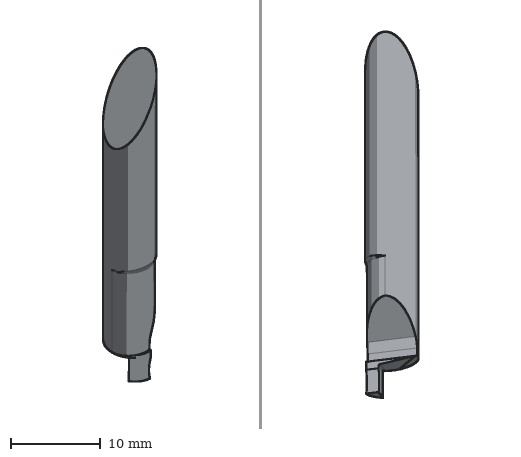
import cadquery as cq
import math


LENGTH = 42.45
RADIUS = 2.993
END_ANGLE = 30
JOINT_Z = 3.78
SLOPE = math.tan(math.radians(END_ANGLE))
MARGIN = 4.25

FLAT_Y = 0.15
FLAT_START_Z = 10.27
FLAT_BLEND = 2.55

NECK_SHIFT = 0.2
NECK_TOP_Z = 15.15
NECK_RAMP_HEIGHT = 1.35
NECK_RAMP_GROWTH = 0.42

UNDERSIDE_Z = 3.46
UNDERSIDE_FALL_X = 0.12
UNDERSIDE_FALL_Y = 0.11

TIP_BACK_X = 1.5
TIP_FRONT_X = 1.7
TIP_FRONT_Y = -2.25
TIP_CENTRE_X = 0.45
TIP_TOP_RADIUS = 2.45
TIP_BOTTOM_RADIUS = RADIUS - TIP_CENTRE_X
TIP_END_RISE = 0.2
EDGE_Y = -0.05
RAKE_TOP_Z = 2.8
RAKE_LOW_Y = -0.15
RAKE_LOW_Z = 0.98
TIP_CORNER_RADIUS = 0.15
TIP_ROOT_RADIUS = 0.25


def cylinder(radius, bottom, top, centre_x=0):
    """Solid cylinder along Z between two heights."""
    return cq.Workplane("XY", origin=(centre_x, 0, bottom)).circle(radius).extrude(top - bottom)


def cone(bottom_radius, top_radius, bottom, top, centre_x=0):
    """Solid cone frustum along Z between two heights."""
    return cq.Workplane(cq.Solid.makeCone(
        bottom_radius, top_radius, top - bottom, pnt=cq.Vector(centre_x, 0, bottom)
    ))


def slab(bottom, top, left=-RADIUS - MARGIN):
    """Block wider than the tool between two heights, reaching left to the given X."""
    width = RADIUS + MARGIN - left
    depth = 2 * (RADIUS + MARGIN)
    return cq.Workplane("XY").box(width, depth, top - bottom, centered=(False, True, False)).translate(
        (left, 0, bottom)
    )


def side_profile():
    """Side outline: slanted top, slanted run-out and cutting-face flat."""
    half_width = RADIUS + MARGIN
    flat_end_z = FLAT_START_Z - (RADIUS - FLAT_Y) / SLOPE
    front_top_z = LENGTH - 2 * RADIUS / SLOPE
    blank = (
        cq.Workplane("YZ", origin=(-half_width, 0, 0))
        .moveTo(-RADIUS, 0)
        .lineTo(FLAT_Y, 0)
        .lineTo(FLAT_Y, flat_end_z)
        .lineTo(RADIUS, FLAT_START_Z)
        .lineTo(RADIUS, LENGTH)
        .lineTo(-RADIUS, front_top_z)
        .close()
        .extrude(2 * half_width)
    )
    bend = cq.selectors.NearestToPointSelector((0, FLAT_Y, flat_end_z))
    return blank.edges(bend).fillet(FLAT_BLEND)


def tool_blank():
    """Round bar with its end cuts, flat and relieved neck."""
    ramp_top_z = NECK_TOP_Z + NECK_RAMP_HEIGHT
    neck = cylinder(RADIUS, 0, NECK_TOP_Z, -NECK_SHIFT)
    ramp = cone(RADIUS, RADIUS + NECK_RAMP_GROWTH, NECK_TOP_Z, ramp_top_z, -NECK_SHIFT)
    relief = slab(0, ramp_top_z, -NECK_SHIFT / 2).cut(neck).cut(ramp)
    return cylinder(RADIUS, 0, LENGTH).cut(relief).intersect(side_profile())


def above_underside():
    """Block bounded below by the sloping underside plane."""
    normal = (UNDERSIDE_FALL_X, UNDERSIDE_FALL_Y, 1)
    plane = cq.Plane(origin=(0, 0, UNDERSIDE_Z), xDir=(1, 0, -UNDERSIDE_FALL_X), normal=normal)
    size = 2 * (RADIUS + MARGIN)
    return cq.Workplane(plane).rect(size, size).extrude(LENGTH + MARGIN)


def cutting_tip():
    """Slender tip with hollow rake face, side clearance and curved front."""
    side = (
        cq.Workplane("YZ")
        .moveTo(EDGE_Y, 0)
        .threePointArc((RAKE_LOW_Y, RAKE_LOW_Z), (FLAT_Y, RAKE_TOP_Z))
        .lineTo(FLAT_Y, JOINT_Z)
        .lineTo(-RADIUS, JOINT_Z)
        .lineTo(-RADIUS, TIP_END_RISE)
        .lineTo(TIP_FRONT_Y, TIP_END_RISE)
        .close()
        .extrude(RADIUS + MARGIN)
    )
    clearance = (TIP_FRONT_X - TIP_BACK_X) / (FLAT_Y - TIP_FRONT_Y)
    far_front_x = TIP_FRONT_X + clearance * (TIP_FRONT_Y + RADIUS)
    plan = (
        cq.Workplane("XY")
        .moveTo(TIP_BACK_X, FLAT_Y)
        .lineTo(RADIUS, FLAT_Y)
        .lineTo(RADIUS, -RADIUS)
        .lineTo(far_front_x, -RADIUS)
        .close()
        .extrude(JOINT_Z)
    )
    corner = cq.selectors.NearestToPointSelector((TIP_BACK_X, FLAT_Y / 2 - RADIUS / 2, 0))
    plan = plan.edges(corner).fillet(TIP_CORNER_RADIUS)
    front = cone(TIP_BOTTOM_RADIUS, TIP_TOP_RADIUS, 0, JOINT_Z, TIP_CENTRE_X)
    return plan.intersect(side).intersect(front)


def make_shank():
    """Part of the bar above the joint and the sloping underside."""
    return tool_blank().intersect(slab(JOINT_Z, LENGTH + MARGIN)).intersect(above_underside())


def make_head():
    """Wedge under the joint, blended into the cutting tip."""
    wedge = tool_blank().intersect(slab(0, JOINT_Z)).intersect(above_underside())
    root_x = (TIP_BACK_X + TIP_FRONT_X) / 2
    root_y = (FLAT_Y + TIP_FRONT_Y) / 2
    root_z = UNDERSIDE_Z - UNDERSIDE_FALL_X * root_x - UNDERSIDE_FALL_Y * root_y
    root = cq.selectors.NearestToPointSelector((root_x, root_y, root_z))
    return wedge.union(cutting_tip()).edges(root).fillet(TIP_ROOT_RADIUS)


shank = make_shank()
head = make_head()
result = cq.Compound.makeCompound([shank.solids().val(), head.solids().val()])